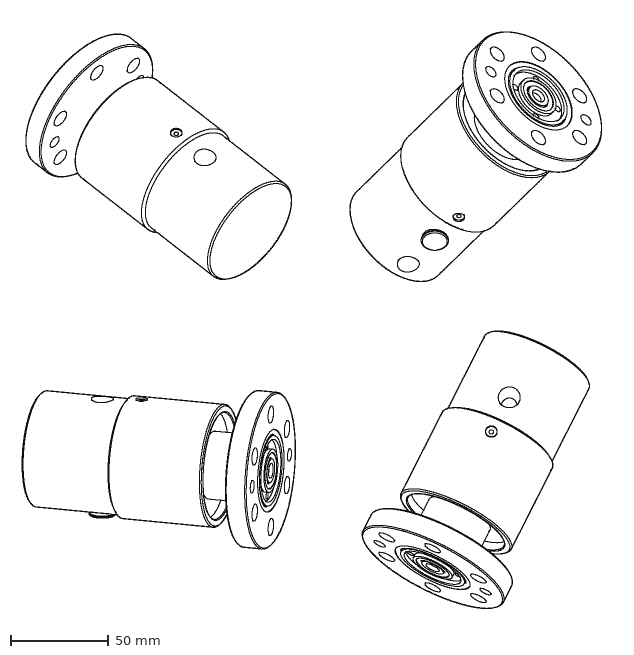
import cadquery as cq
import math

LENGTH = 126.5
FLANGE_FRONT = 0.4
FLANGE_BACK = 11.6
BARREL_FRONT = 27.7
BARREL_BACK = 78.6
REAR_RIM = 125.4
FLANGE_CHAMFER = 0.6
BARREL_CHAMFER = 0.8
SHOULDER_RUN = 1.1
REAR_CHAMFER = 0.9

FLANGE_DIA = 81.0
NECK_DIA = 35.0
BARREL_DIA = 63.5
REAR_DIA = 60.1
END_FACE_DIA = 40.5
NECK_FILLET = 2.8

COLLAR_RECESS_DIA = 55.2
COLLAR_RECESS_DEPTH = 4.8
COLLAR_RECESS_CHAMFER = 0.5

BOLT_CIRCLE_DIA = 60.2
BOLT_HOLE_DIA = 8.9
BOLT_COUNT = 6
DOWEL_HOLE_DIA = 6.5

SEAL_CORD = 2.7
GROOVE_DEPTH = SEAL_CORD - FLANGE_FRONT
OUTER_SEAL_DIA = 42.8
OUTER_GROOVE_INNER_DIA = 36.5
INNER_SEAL_DIA = 18.9
INNER_GROOVE_INNER_DIA = 12.4

CHANNEL_OUTER_DIA = 32.4
CHANNEL_INNER_DIA = 22.4
CHANNEL_DEPTH = 2.0
FEED_HOLE_DIA = 3.5
FEED_HOLE_COUNT = 4
FEED_CIRCLE_DIA = 26.8
FEED_HOLE_LENGTH = 17.7
FEED_HOLE_TILT = 15.0

BORE_DIA = 6.2
BORE_DEPTH = 25.3
BORE_MOUTH_DIA = 7.6
BORE_MOUTH_DEPTH = 2.0

TOP_PORT_X = 91.6
BOTTOM_PORT_X = 114.9
PORT_MOUTH_DIA = 11.4
PORT_FLOOR_DIA = 8.0

POCKET_X = 70.3
POCKET_DIA = 6.0
POCKET_DEPTH = 1.0
NUB_DIA = 2.3
NUB_HEIGHT = 0.6

PLUG_DIA = 13.2
PLUG_RIM_DIA = 14.0
PLUG_RIM_HEIGHT = 1.1
PLUG_REACH = 32.1
PLUG_EDGE = 0.6
PLUG_STEM_LENGTH = 5.0


def ring(outer_dia, inner_dia, start, depth):
    """Tube along the main axis, from X = start."""
    section = cq.Workplane("YZ", origin=(start, 0, 0))
    return section.circle(outer_dia / 2).circle(inner_dia / 2).extrude(depth)


def turned_blank():
    """Flange, neck, barrel and rear section, turned in one piece."""
    flange_r = FLANGE_DIA / 2
    neck_r = NECK_DIA / 2
    barrel_r = BARREL_DIA / 2
    rear_r = REAR_DIA / 2
    fillet_sag = NECK_FILLET * (1 - math.sqrt(0.5))
    outline = (
        cq.Workplane("XY")
        .moveTo(FLANGE_FRONT, 0)
        .lineTo(FLANGE_FRONT, flange_r - FLANGE_CHAMFER)
        .lineTo(FLANGE_FRONT + FLANGE_CHAMFER, flange_r)
        .lineTo(FLANGE_BACK - FLANGE_CHAMFER, flange_r)
        .lineTo(FLANGE_BACK, flange_r - FLANGE_CHAMFER)
        .lineTo(FLANGE_BACK, neck_r + NECK_FILLET)
        .threePointArc(
            (FLANGE_BACK + fillet_sag, neck_r + fillet_sag),
            (FLANGE_BACK + NECK_FILLET, neck_r),
        )
        .lineTo(BARREL_FRONT, neck_r)
        .lineTo(BARREL_FRONT, barrel_r - BARREL_CHAMFER)
        .lineTo(BARREL_FRONT + BARREL_CHAMFER, barrel_r)
        .lineTo(BARREL_BACK - SHOULDER_RUN, barrel_r)
        .lineTo(BARREL_BACK, rear_r)
        .lineTo(REAR_RIM - REAR_CHAMFER, rear_r)
        .lineTo(REAR_RIM, rear_r - REAR_CHAMFER)
        .lineTo(LENGTH, END_FACE_DIA / 2)
        .lineTo(LENGTH, 0)
        .close()
    )
    return outline.revolve(360, (0, 0, 0), (1, 0, 0))


def collar_recess():
    """Annular recess between neck and barrel, with a chamfered mouth."""
    recess_r = COLLAR_RECESS_DIA / 2
    neck_r = NECK_DIA / 2
    return (
        cq.Workplane("XY")
        .moveTo(BARREL_FRONT, neck_r)
        .lineTo(BARREL_FRONT, recess_r + COLLAR_RECESS_CHAMFER)
        .lineTo(BARREL_FRONT + COLLAR_RECESS_CHAMFER, recess_r)
        .lineTo(BARREL_FRONT + COLLAR_RECESS_DEPTH, recess_r)
        .lineTo(BARREL_FRONT + COLLAR_RECESS_DEPTH, neck_r)
        .close()
        .revolve(360, (0, 0, 0), (1, 0, 0))
    )


def flange_holes():
    """Bolt holes and two dowel holes on one circle, through the flange."""
    face = cq.Workplane("YZ", origin=(FLANGE_FRONT, 0, 0))
    thickness = FLANGE_BACK - FLANGE_FRONT
    radius = BOLT_CIRCLE_DIA / 2
    bolts = face.polarArray(radius, 90, 360, BOLT_COUNT).circle(BOLT_HOLE_DIA / 2).extrude(thickness)
    dowels = face.polarArray(radius, 0, 360, 2).circle(DOWEL_HOLE_DIA / 2).extrude(thickness)
    return bolts.add(dowels).combine()


def seal_grooves():
    outer = ring(OUTER_SEAL_DIA, OUTER_GROOVE_INNER_DIA, FLANGE_FRONT, GROOVE_DEPTH)
    inner = ring(INNER_SEAL_DIA, INNER_GROOVE_INNER_DIA, FLANGE_FRONT, GROOVE_DEPTH)
    return outer.add(inner).combine()


def feed_channel():
    """Annular channel with the slanted feed holes in its floor."""
    channel = ring(CHANNEL_OUTER_DIA, CHANNEL_INNER_DIA, FLANGE_FRONT, CHANNEL_DEPTH)
    mouth_radius = FEED_CIRCLE_DIA / 2
    floor = FLANGE_FRONT + CHANNEL_DEPTH
    tilt = math.radians(FEED_HOLE_TILT)
    direction = cq.Vector(math.cos(tilt), 0, -math.sin(tilt))
    start = cq.Vector(floor, 0, mouth_radius) - direction * (CHANNEL_DEPTH / 2)
    hole = cq.Solid.makeCylinder(FEED_HOLE_DIA / 2, FEED_HOLE_LENGTH, start, direction)
    for index in range(FEED_HOLE_COUNT):
        angle = 360 / FEED_HOLE_COUNT * index
        channel = channel.union(cq.Workplane(hole.rotate((0, 0, 0), (1, 0, 0), angle)))
    return channel


def centre_bore():
    return (
        cq.Workplane("XY")
        .moveTo(FLANGE_FRONT, 0)
        .lineTo(FLANGE_FRONT, BORE_MOUTH_DIA / 2)
        .lineTo(FLANGE_FRONT + BORE_MOUTH_DEPTH, BORE_DIA / 2)
        .lineTo(FLANGE_FRONT + BORE_DEPTH, BORE_DIA / 2)
        .lineTo(FLANGE_FRONT + BORE_DEPTH, 0)
        .close()
        .revolve(360, (0, 0, 0), (1, 0, 0))
    )


def side_port(x, side):
    """Tapered port on the +Z (side = 1) or -Z (side = -1) wall; its floor follows the neck diameter."""
    surface = REAR_DIA / 2
    floor = NECK_DIA / 2
    port = (
        cq.Workplane("XZ")
        .moveTo(0, floor - PORT_FLOOR_DIA)
        .lineTo(PORT_FLOOR_DIA / 2, floor - PORT_FLOOR_DIA)
        .lineTo(PORT_FLOOR_DIA / 2, floor)
        .lineTo(PORT_MOUTH_DIA / 2, surface)
        .lineTo(0, surface)
        .close()
        .revolve(360, (0, 0, 0), (0, 1, 0))
        .rotate((0, 0, 0), (1, 0, 0), 90 - 90 * side)
        .translate((x, 0, 0))
    )
    core = (
        cq.Workplane("YZ", origin=(x, 0, 0))
        .circle(NECK_DIA / 2)
        .extrude(PORT_MOUTH_DIA, both=True)
    )
    return port.cut(core)


def barrel_pocket(side):
    """Shallow flat pocket with a pointed nub, on the +Z (side = 1) or -Z (side = -1) wall."""
    surface = BARREL_DIA / 2
    floor = surface - POCKET_DEPTH
    return (
        cq.Workplane("XZ")
        .moveTo(0, floor + NUB_HEIGHT)
        .lineTo(NUB_DIA / 2, floor)
        .lineTo(POCKET_DIA / 2, floor)
        .lineTo(POCKET_DIA / 2, surface)
        .lineTo(0, surface)
        .close()
        .revolve(360, (0, 0, 0), (0, 1, 0))
        .rotate((0, 0, 0), (1, 0, 0), 90 - 90 * side)
        .translate((POCKET_X, 0, 0))
    )


def plug():
    """Round plug under the rear section, with a wider chamfered rim at its lower end."""
    end_face = cq.Workplane("XY", origin=(TOP_PORT_X, 0, -PLUG_REACH))
    rim = end_face.circle(PLUG_RIM_DIA / 2).extrude(PLUG_RIM_HEIGHT).faces("<Z").chamfer(PLUG_EDGE)
    stem = (
        end_face.workplane(offset=PLUG_RIM_HEIGHT)
        .circle(PLUG_DIA / 2)
        .extrude(PLUG_STEM_LENGTH)
    )
    return rim.union(stem)


def make_union_body():
    body = turned_blank().union(plug()).cut(collar_recess())
    body = body.cut(flange_holes()).cut(seal_grooves()).cut(feed_channel()).cut(centre_bore())
    body = body.cut(side_port(TOP_PORT_X, 1)).cut(side_port(BOTTOM_PORT_X, -1))
    for side in (1, -1):
        body = body.cut(barrel_pocket(side))
    return body


def make_seal_ring(outer_dia):
    """Round-section ring lying on its groove floor and against the groove's outer wall."""
    cord_r = SEAL_CORD / 2
    section = cq.Workplane("XY").center(cord_r, outer_dia / 2 - cord_r).circle(cord_r)
    return section.revolve(360, (0, cord_r - outer_dia / 2, 0), (1, cord_r - outer_dia / 2, 0))


union_body = make_union_body()
seal_rings = [make_seal_ring(diameter) for diameter in (OUTER_SEAL_DIA, INNER_SEAL_DIA)]

result = cq.Compound.makeCompound([union_body.val(), *[seal.val() for seal in seal_rings]])